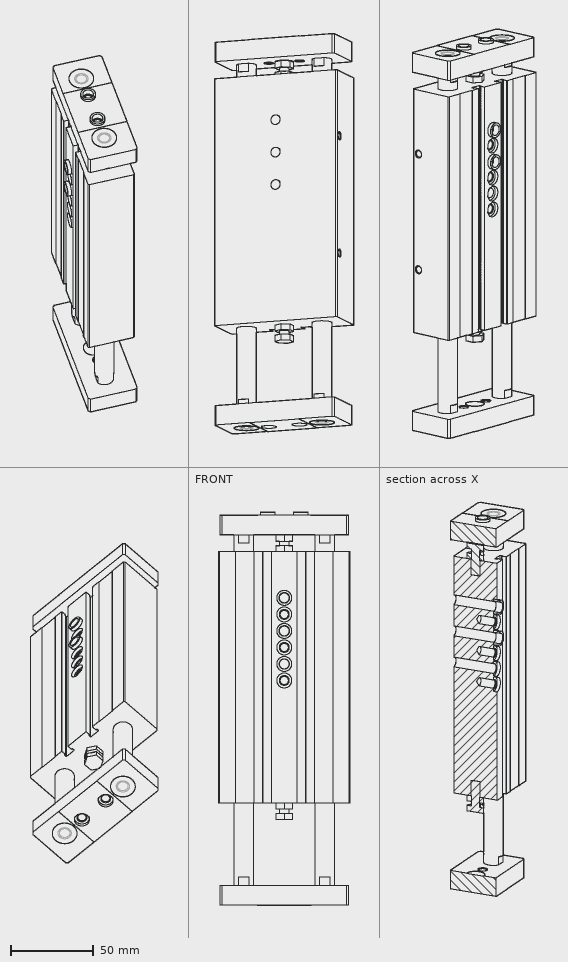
import cadquery as cq
import math

TOTAL_HEIGHT = 238.8
PLATE_THICKNESS = 12.2
SLEEVE_ON_PLATE = 1.7
LOWER_GAP = 50.0
UPPER_GAP = 10.0

UPPER_PLATE_Z = TOTAL_HEIGHT - SLEEVE_ON_PLATE - PLATE_THICKNESS
HOUSING_BOTTOM = PLATE_THICKNESS + LOWER_GAP
HOUSING_TOP = UPPER_PLATE_Z - UPPER_GAP
HOUSING_HEIGHT = HOUSING_TOP - HOUSING_BOTTOM

HOUSING_WIDTH = 80.0
HOUSING_DEPTH = 29.4
HOUSING_CHAMFER = 0.7
FRONT_Y = -HOUSING_DEPTH / 2
SLOT_INNER_X = 7.6
SLOT_OUTER_X = 13.0
SLOT_LIP = 3.3
SLOT_UNDERCUT = 0.7
SLOT_DEPTH = 4.8
SLOT_CHAMFER = 0.2
STRIP_INNER_X = 18.5
STRIP_OUTER_X = 29.5
STRIP_DEPTH = 0.2

HOLE_PITCH = 10.0
TOP_HOLE_Z = 186.7
HOLE_COUNT = 6
SLEEVED_HOLES = (0, 2)
THROUGH_DIAMETER = 6.0
BLIND_DEPTH = 10.0
HOLE_MOUTH = 6.0
THREAD_DIAMETER = 5.0

PORT_DIAMETER = 4.0
PORT_MOUTH = 5.0
PORT_DEPTH = 6.0
PORT_Y = 10.0
PORT_HEIGHTS = (102.2, 174.8)
DRILL_TIP_ANGLE = 118

SLEEVE_OUTER = 9.0
SLEEVE_INNER = 6.5
SLEEVE_SEAT = 2.1
SLEEVE_FRONT_Y = -17.0
SLEEVE_ON_HOUSING = FRONT_Y - SLEEVE_FRONT_Y

PLATE_WIDTH = 78.0
PLATE_FRONT_Y = -14.0
PLATE_BACK_Y = 17.0
PLATE_CHAMFER = 1.2
PAD_WIDTH = 32.2
PAD_HEIGHT = 0.15
ROD_SPACING = 49.2
ROD_X = ROD_SPACING / 2
ROD_DIAMETER = 12.0
ROD_FLATS = 10.0
FLAT_LENGTH = 5.0
ROD_SEAT_DIAMETER = 15.0
ROD_SEAT_DEPTH = 0.2
CENTRE_MOUTH = 8.0
CENTRE_FLOOR = 6.5
CENTRE_DEPTH = 0.2
STOP_SEAT_DIAMETER = 11.5
STOP_SEAT_DEPTH = 0.2
PLATE_HOLE_X = HOLE_PITCH

HEX_ACROSS_FLATS = 10.0
HEAD_HEIGHT = 3.8
NUT_HEIGHT = 3.5
SCREW_DIAMETER = 6.0
STOP_LENGTH = UPPER_GAP
SCREW_DEPTH = 10.0


def disc(x, y, z, diameter, height):
    return cq.Workplane("XY", origin=(x, y, z)).circle(diameter / 2).extrude(height)


def cone(base_diameter, end_diameter, height, point, direction):
    return cq.Workplane(cq.Solid.makeCone(
        base_diameter / 2, end_diameter / 2, height, cq.Vector(*point), cq.Vector(*direction)))


def drill(diameter, mouth, depth, point, direction):
    """Blind drilled hole with a chamfered mouth and a conical tip."""
    start = cq.Vector(*point)
    axis = cq.Vector(*direction)
    tip_height = diameter / 2 / math.tan(math.radians(DRILL_TIP_ANGLE / 2))
    bore = cq.Workplane(cq.Solid.makeCylinder(diameter / 2, depth, start, axis))
    tip = cone(diameter, 0, tip_height, (start + axis * depth).toTuple(), direction)
    lead = cone(mouth, diameter, (mouth - diameter) / 2, point, direction)
    return bore.union(tip).union(lead)


def hexagon(z, height):
    """Hexagonal block on the stop axis, with one corner facing -Y."""
    corner_diameter = HEX_ACROSS_FLATS / math.cos(math.pi / 6)
    block = cq.Workplane("XY").polygon(6, corner_diameter).extrude(height)
    return block.rotate((0, 0, 0), (0, 0, 1), 30).translate((0, 0, z))


def lower_and_upper(lower):
    """A part placed at the lower end, and its mirror image at the upper end of the housing."""
    middle = (HOUSING_BOTTOM + HOUSING_TOP) / 2
    return [lower, lower.mirror("XY", (0, 0, middle))]


def slot_cutter(side):
    mouth_y = FRONT_Y + SLOT_LIP
    floor_y = FRONT_Y + SLOT_DEPTH
    points = [
        (SLOT_INNER_X, FRONT_Y),
        (SLOT_INNER_X, mouth_y),
        (SLOT_INNER_X - SLOT_UNDERCUT, mouth_y),
        (SLOT_INNER_X - SLOT_UNDERCUT, floor_y),
        (SLOT_OUTER_X + SLOT_UNDERCUT, floor_y),
        (SLOT_OUTER_X + SLOT_UNDERCUT, mouth_y),
        (SLOT_OUTER_X, mouth_y),
        (SLOT_OUTER_X, FRONT_Y + SLOT_CHAMFER),
        (SLOT_OUTER_X + SLOT_CHAMFER, FRONT_Y),
    ]
    outline = [(side * x, y) for x, y in points]
    return (cq.Workplane("XY", origin=(0, 0, HOUSING_BOTTOM))
            .polyline(outline).close().extrude(HOUSING_HEIGHT))


def strip_cutter(side):
    width = STRIP_OUTER_X - STRIP_INNER_X
    centre_x = side * (STRIP_OUTER_X + STRIP_INNER_X) / 2
    return (cq.Workplane("XY", origin=(centre_x, FRONT_Y, HOUSING_BOTTOM))
            .rect(width, 2 * STRIP_DEPTH).extrude(HOUSING_HEIGHT))


def mounting_hole_cutter(index):
    """Even holes pass through the housing, odd ones are blind threads; all have a sleeve seat."""
    z = TOP_HOLE_Z - index * HOLE_PITCH
    seat = cq.Workplane(cq.Solid.makeCylinder(
        SLEEVE_OUTER / 2, SLEEVE_SEAT, cq.Vector(0, FRONT_Y, z), cq.Vector(0, 1, 0)))
    if index % 2 == 0:
        bore = cq.Workplane(cq.Solid.makeCylinder(
            THROUGH_DIAMETER / 2, HOUSING_DEPTH, cq.Vector(0, FRONT_Y, z), cq.Vector(0, 1, 0)))
    else:
        bore = drill(THREAD_DIAMETER, HOLE_MOUTH, BLIND_DEPTH, (0, FRONT_Y + SLEEVE_SEAT, z), (0, 1, 0))
    return seat.union(bore)


def make_housing():
    body = (cq.Workplane("XY", origin=(0, 0, HOUSING_BOTTOM)).rect(HOUSING_WIDTH, HOUSING_DEPTH)
            .extrude(HOUSING_HEIGHT).edges("|Z").chamfer(HOUSING_CHAMFER))
    for side in (-1, 1):
        body = body.cut(slot_cutter(side)).cut(strip_cutter(side))
        body = body.cut(disc(side * ROD_X, 0, HOUSING_BOTTOM, ROD_DIAMETER, HOUSING_HEIGHT))
    for index in range(HOLE_COUNT):
        body = body.cut(mounting_hole_cutter(index))
    for z in PORT_HEIGHTS:
        port_start = (-HOUSING_WIDTH / 2, PORT_Y, z)
        body = body.cut(drill(PORT_DIAMETER, PORT_MOUTH, PORT_DEPTH, port_start, (1, 0, 0)))
    for screw_hole in lower_and_upper(disc(0, 0, HOUSING_BOTTOM, SCREW_DIAMETER, SCREW_DEPTH)):
        body = body.cut(screw_hole)
    return body


def make_lower_plate():
    """Lower plate, outer face down, with a raised pad in the middle of that face."""
    centre_y = (PLATE_FRONT_Y + PLATE_BACK_Y) / 2
    depth = PLATE_BACK_Y - PLATE_FRONT_Y
    plate = (cq.Workplane("XY", origin=(0, centre_y, PAD_HEIGHT)).rect(PLATE_WIDTH, depth)
             .extrude(PLATE_THICKNESS - PAD_HEIGHT).edges("|Z").chamfer(PLATE_CHAMFER))
    pad = cq.Workplane("XY", origin=(0, centre_y, 0)).rect(PAD_WIDTH, depth).extrude(PAD_HEIGHT)
    plate = plate.union(pad)
    seat_floor = PAD_HEIGHT + ROD_SEAT_DEPTH
    mouth_height = (HOLE_MOUTH - THREAD_DIAMETER) / 2
    for side in (-1, 1):
        x = side * PLATE_HOLE_X
        plate = plate.cut(disc(x, 0, 0, THREAD_DIAMETER, PLATE_THICKNESS))
        plate = plate.cut(disc(x, 0, 0, SLEEVE_OUTER, SLEEVE_SEAT))
        plate = plate.cut(cone(HOLE_MOUTH, THREAD_DIAMETER, mouth_height, (x, 0, SLEEVE_SEAT), (0, 0, 1)))
        inner_mouth = (x, 0, PLATE_THICKNESS)
        plate = plate.cut(cone(HOLE_MOUTH, THREAD_DIAMETER, mouth_height, inner_mouth, (0, 0, -1)))
        plate = plate.cut(disc(side * ROD_X, 0, 0, ROD_SEAT_DIAMETER, seat_floor))
        centre_point = (side * ROD_X, 0, seat_floor)
        plate = plate.cut(cone(CENTRE_MOUTH, CENTRE_FLOOR, CENTRE_DEPTH, centre_point, (0, 0, 1)))
    stop_seat = disc(0, 0, PLATE_THICKNESS - STOP_SEAT_DEPTH, STOP_SEAT_DIAMETER, STOP_SEAT_DEPTH)
    return plate.cut(stop_seat)


def make_rod(x):
    """Rod between the plates, with two wrench flats at each end."""
    length = UPPER_PLATE_Z - PLATE_THICKNESS
    rod = disc(x, 0, PLATE_THICKNESS, ROD_DIAMETER, length)
    end = disc(x, 0, PLATE_THICKNESS, ROD_DIAMETER, FLAT_LENGTH)
    core = (cq.Workplane("XY", origin=(x, 0, PLATE_THICKNESS))
            .rect(ROD_DIAMETER, ROD_FLATS).extrude(FLAT_LENGTH))
    waste = end.cut(core)
    rod = rod.cut(waste)
    return rod.cut(waste.translate((0, 0, length - FLAT_LENGTH)))


def make_yoke():
    """One moving frame: a plate at each end of the two rods."""
    lower = make_lower_plate()
    upper = lower.mirror("XY").translate((0, 0, UPPER_PLATE_Z + PLATE_THICKNESS))
    yoke = lower.union(upper)
    for side in (-1, 1):
        yoke = yoke.union(make_rod(side * ROD_X))
    return yoke


def make_sleeve(protrusion):
    """Upright sleeve seated SLEEVE_SEAT below z = 0, its rim at z = protrusion."""
    length = SLEEVE_SEAT + protrusion
    ring = disc(0, 0, -SLEEVE_SEAT, SLEEVE_OUTER, length)
    return ring.cut(disc(0, 0, -SLEEVE_SEAT, SLEEVE_INNER, length))


def make_plate_sleeve(side):
    return make_sleeve(SLEEVE_ON_PLATE).translate((side * PLATE_HOLE_X, 0, TOTAL_HEIGHT - SLEEVE_ON_PLATE))


def make_housing_sleeve(index):
    forward = make_sleeve(SLEEVE_ON_HOUSING).rotate((0, 0, 0), (1, 0, 0), 90)
    return forward.translate((0, FRONT_Y, TOP_HOLE_Z - index * HOLE_PITCH))


def make_lower_screw():
    """Stop screw, head down, screwed into the underside of the housing."""
    head_bottom = HOUSING_BOTTOM - STOP_LENGTH
    shank = disc(0, 0, head_bottom, SCREW_DIAMETER, STOP_LENGTH + SCREW_DEPTH)
    return hexagon(head_bottom, HEAD_HEIGHT).union(shank)


def make_lower_nut():
    z = HOUSING_BOTTOM - NUT_HEIGHT
    return hexagon(z, NUT_HEIGHT).cut(disc(0, 0, z, SCREW_DIAMETER, NUT_HEIGHT))


housing = make_housing()
yoke = make_yoke()
sleeves = [make_plate_sleeve(side) for side in (-1, 1)]
sleeves += [make_housing_sleeve(index) for index in SLEEVED_HOLES]
screws = lower_and_upper(make_lower_screw())
nuts = lower_and_upper(make_lower_nut())

bodies = [housing, yoke, *sleeves, *screws, *nuts]
result = cq.Compound.makeCompound([body.solids().val() for body in bodies])